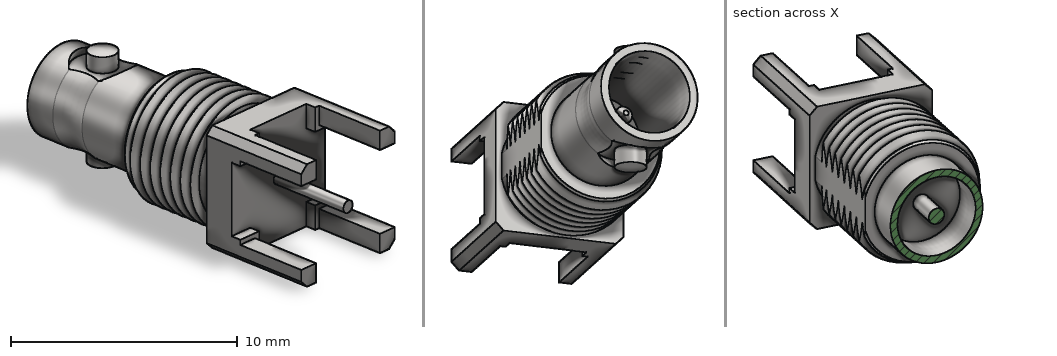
import cadquery as cq
import math

OVERALL_LENGTH = 17.33

SLEEVE_RADIUS = 2.27
BORE_RADIUS = 1.9
SLEEVE_END_X = 6.46
BORE_DEPTH = SLEEVE_END_X

LUG_X = 2.43
LUG_RADIUS = 0.71
LUG_TIP_RADIUS = 2.81
SEAT_RADIUS = 1.5
SEAT_HEIGHT = 1.92
WAIST_HALF_LENGTH = math.sqrt(SEAT_RADIUS**2 - (SLEEVE_RADIUS**2 - SEAT_HEIGHT**2))
WAIST_DEPTH = 0.105

CONTACT_RADIUS = 0.39
CONTACT_TIP_RADIUS = 0.12
CONTACT_TIP_LENGTH = 0.3
CONTACT_TIP_X = 3.0

CREST_RADIUS = 3.175
ROOT_RADIUS = 2.78
PITCH = 0.61
CREST_COUNT = 7
FIRST_CREST_X = 7.105
LEAD_FACE_RADIUS = 2.85
LEAD_RIM_RADIUS = 2.95
LEAD_LENGTH = 0.12
RELIEF_RADIUS = 2.785
RELIEF_START_X = 10.92
FLAT_Y = 2.72

BLOCK_SIZE = 6.0
BLOCK_CHAMFER = 0.365
BLOCK_START_X = 11.58
BLOCK_END_X = 13.1
LEG_SIZE = 0.95
LEG_FOOT_SIZE = 1.2
LEG_FOOT_END_X = 13.63

TAIL_RADIUS = 0.3


def rod(radius, start_x, end_x):
    """Cylinder along the X axis."""
    return cq.Workplane("YZ", origin=(start_x, 0, 0)).circle(radius).extrude(end_x - start_x)


def make_sleeve():
    """Round sleeve with a shallow curved waist at the lugs."""
    return (
        cq.Workplane("XY")
        .lineTo(0, SLEEVE_RADIUS)
        .lineTo(LUG_X - WAIST_HALF_LENGTH, SLEEVE_RADIUS)
        .threePointArc(
            (LUG_X, SLEEVE_RADIUS - WAIST_DEPTH),
            (LUG_X + WAIST_HALF_LENGTH, SLEEVE_RADIUS),
        )
        .lineTo(SLEEVE_END_X, SLEEVE_RADIUS)
        .lineTo(SLEEVE_END_X, 0)
        .close()
        .revolve(360, (0, 0, 0), (1, 0, 0))
    )


def cut_lug_seats(sleeve):
    """Round flat-bottomed seats above and below the axis."""
    seat = cq.Workplane("XY", origin=(LUG_X, 0, SEAT_HEIGHT)).circle(SEAT_RADIUS).extrude(SLEEVE_RADIUS)
    return sleeve.cut(seat).cut(seat.mirror("XY"))


def make_lugs():
    """Two opposite bayonet lugs with domed tips."""
    post = (
        cq.Workplane("XY", origin=(LUG_X, 0, -LUG_TIP_RADIUS))
        .circle(LUG_RADIUS)
        .extrude(2 * LUG_TIP_RADIUS)
    )
    dome = cq.Workplane("XY").sphere(LUG_TIP_RADIUS).translate((LUG_X, 0, 0))
    return post.intersect(dome)


def make_contact():
    """Centre contact with a blunt conical tip, standing on the bore floor."""
    return (
        cq.Workplane("XY", origin=(CONTACT_TIP_X, 0, 0))
        .lineTo(0, CONTACT_TIP_RADIUS)
        .lineTo(CONTACT_TIP_LENGTH, CONTACT_RADIUS)
        .lineTo(BORE_DEPTH - CONTACT_TIP_X, CONTACT_RADIUS)
        .lineTo(BORE_DEPTH - CONTACT_TIP_X, 0)
        .close()
        .revolve(360, (0, 0, 0), (1, 0, 0))
    )


def make_threaded_body():
    """Ring-ridged body with a chamfered lead, a rear relief and a side flat."""
    profile = (
        cq.Workplane("XY")
        .moveTo(SLEEVE_END_X, 0)
        .lineTo(SLEEVE_END_X, LEAD_FACE_RADIUS)
        .lineTo(SLEEVE_END_X + LEAD_LENGTH, LEAD_RIM_RADIUS)
    )
    for index in range(CREST_COUNT):
        crest_x = FIRST_CREST_X + index * PITCH
        profile = profile.lineTo(crest_x - PITCH / 2, ROOT_RADIUS).lineTo(crest_x, CREST_RADIUS)
    body = (
        profile.lineTo(RELIEF_START_X, RELIEF_RADIUS)
        .lineTo(BLOCK_START_X, RELIEF_RADIUS)
        .lineTo(BLOCK_START_X, 0)
        .close()
        .revolve(360, (0, 0, 0), (1, 0, 0))
    )
    flat_cutter = cq.Workplane("XY").box(
        OVERALL_LENGTH, CREST_RADIUS, 2 * CREST_RADIUS, centered=(False, False, True)
    )
    return body.cut(flat_cutter.translate((0, FLAT_Y, 0)))


def cut_leg_gaps(block, corner_size, start_x, end_x):
    """Clear a cross-shaped space, leaving square corners of the given size."""
    gap = BLOCK_SIZE - 2 * corner_size
    length = end_x - start_x
    plane = cq.Workplane("YZ", origin=(start_x, 0, 0))
    return (
        block
        .cut(plane.rect(gap, BLOCK_SIZE).extrude(length))
        .cut(plane.rect(BLOCK_SIZE, gap).extrude(length))
    )


def make_block():
    """Chamfered square block whose corners run on as four stepped legs."""
    block = (
        cq.Workplane("YZ", origin=(BLOCK_START_X, 0, 0))
        .rect(BLOCK_SIZE, BLOCK_SIZE)
        .extrude(OVERALL_LENGTH - BLOCK_START_X)
        .edges("|X")
        .chamfer(BLOCK_CHAMFER)
    )
    block = cut_leg_gaps(block, LEG_FOOT_SIZE, BLOCK_END_X, OVERALL_LENGTH)
    return cut_leg_gaps(block, LEG_SIZE, LEG_FOOT_END_X, OVERALL_LENGTH)


result = (
    cut_lug_seats(make_sleeve())
    .union(make_lugs())
    .cut(rod(BORE_RADIUS, 0, BORE_DEPTH))
    .union(make_threaded_body())
    .union(make_contact())
    .union(make_block())
    .union(rod(TAIL_RADIUS, BLOCK_END_X, OVERALL_LENGTH))
)